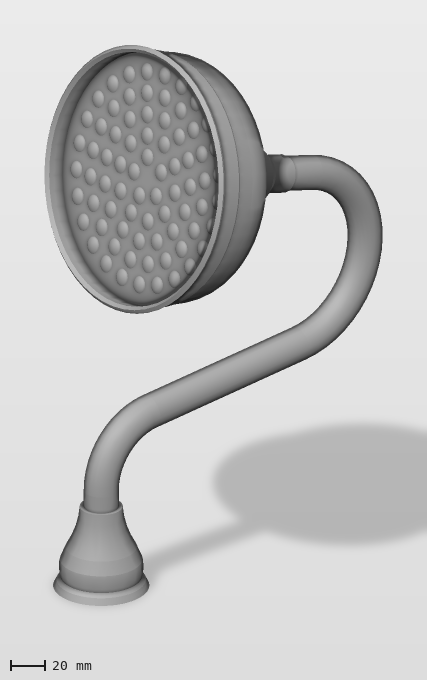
import cadquery as cq
import math

arm_radius = 10.3
lower_bend_radius = 40.0
upper_bend_radius = 55.0
rise_angle = 5.0
head_angle = 15.0
long_straight = 113.5
end_straight = 19.2

flange_radius = 28.2
flange_shoulder_radius = 26.2
flange_shoulder_height = 4.0
flange_height = 6.3

bell_foot_radius = 24.0
bell_belly_radius = 25.0
bell_belly_z = 12.3
bell_shoulder_radius = 24.2
bell_shoulder_z = 17.2
bell_waist_radius = 21.0
bell_waist_z = 25.2
bell_mid_radius = 15.5
bell_mid_z = 36.5
bell_top_radius = 12.5
bell_top_z = 51.5

sleeve_length = 10.3

lip_length = 3.0
nut_radius = 11.3
nut_length = 15.5
stem_radius = 8.3
stem_length = 6.5
flat_width = 7.5
flat_length = 5.0
flat_depth = 0.5

neck_radius = 16.5
neck_length = 21.5
boss_height = 2.0
boss_back_radius = 9.0
boss_front_radius = 11.0
cone_start_radius = 21.2
cone_mid_radius = 36.5
cone_mid_length = 11.0
cone_end_radius = 55.7
cone_length = 22.2
shoulder_mid_radius = 69.0
shoulder_mid_length = 9.0
shoulder_radius = 74.0
shoulder_length = 24.0
skirt_radius = 75.0
skirt_length = 10.5
band_step = 1.3
band_radius = 75.5
band_length = 13.3
rim_radius = 157.5 / 2
rim_thickness = 3.5
rim_back_radius = 78.0
rim_back_bevel = 1.5
rim_crest_radius = 76.5
recess_radius = 74.5
recess_depth = 12.5
rim_lead_in = 2.0

nozzle_radius = 10.3 / 2
nozzle_height = 1.5
nozzle_root = 1.5
outer_ring_radius = 62.7
nozzle_ring_count = 5
nozzles_per_ring_step = 5

sleeve_top_z = bell_top_z + sleeve_length
rise = math.radians(rise_angle)
tilt = math.radians(head_angle)
nozzle_ring_pitch = outer_ring_radius / nozzle_ring_count


def arc_point(center, radius, angle):
    """Point in the YZ plane at an angle measured from +Y towards +Z."""
    return (center[0] + radius * math.cos(angle), center[1] + radius * math.sin(angle))


lower_center = (lower_bend_radius, sleeve_top_z)
lower_mid = arc_point(lower_center, lower_bend_radius, math.pi * 3 / 4 + rise / 2)
lower_end = arc_point(lower_center, lower_bend_radius, math.pi / 2 + rise)
upper_start = (
    lower_end[0] + long_straight * math.cos(rise),
    lower_end[1] + long_straight * math.sin(rise),
)
upper_center = arc_point(upper_start, upper_bend_radius, math.pi / 2 + rise)
upper_mid = arc_point(upper_center, upper_bend_radius, (rise - tilt) / 2)
upper_end = arc_point(upper_center, upper_bend_radius, math.pi / 2 - tilt)
arm_end = (
    upper_end[0] - end_straight * math.cos(tilt),
    upper_end[1] + end_straight * math.sin(tilt),
)

head_frame = cq.Plane(
    origin=(0, arm_end[0], arm_end[1]),
    xDir=(1, 0, 0),
    normal=(0, -math.cos(tilt), math.sin(tilt)),
)


def place_on_arm_end(body):
    return cq.Workplane(body.val().moved(cq.Location(head_frame)))


def revolve_profile(profile):
    """Turn a closed (radius, height) profile around the Z axis."""
    return profile.close().revolve(360, (0, 0, 0), (0, 1, 0))


def make_flange():
    return revolve_profile(
        cq.Workplane("XZ")
        .lineTo(flange_radius, 0)
        .lineTo(flange_shoulder_radius, flange_shoulder_height)
        .lineTo(bell_foot_radius, flange_height)
        .lineTo(0, flange_height)
    )


def make_bell():
    return revolve_profile(
        cq.Workplane("XZ")
        .moveTo(0, flange_height)
        .lineTo(bell_foot_radius, flange_height)
        .threePointArc((bell_belly_radius, bell_belly_z), (bell_shoulder_radius, bell_shoulder_z))
        .lineTo(bell_waist_radius, bell_waist_z)
        .threePointArc((bell_mid_radius, bell_mid_z), (bell_top_radius, bell_top_z))
        .lineTo(0, bell_top_z)
    )


def make_sleeve():
    return cq.Workplane("XY").workplane(offset=bell_top_z).circle(arm_radius).extrude(sleeve_length)


def make_arm():
    path = (
        cq.Workplane("YZ")
        .moveTo(0, sleeve_top_z)
        .threePointArc(lower_mid, lower_end)
        .lineTo(*upper_start)
        .threePointArc(upper_mid, upper_end)
        .lineTo(*arm_end)
    )
    return cq.Workplane("XY").workplane(offset=sleeve_top_z).circle(arm_radius).sweep(path)


def make_swivel():
    swivel = (
        cq.Workplane("XY")
        .circle(arm_radius)
        .extrude(lip_length)
        .faces(">Z")
        .workplane()
        .circle(nut_radius)
        .extrude(nut_length)
        .faces(">Z")
        .workplane()
        .circle(stem_radius)
        .extrude(stem_length)
    )
    flat = (
        cq.Workplane("XY")
        .box(flat_width, nut_radius, flat_length, centered=(True, False, False))
        .translate((0, nut_radius - flat_depth, lip_length))
    )
    return place_on_arm_end(swivel.cut(flat))


def make_nozzle_dome():
    """Spherical cap on a short root that sinks into the face plate."""
    sphere_radius = (nozzle_radius ** 2 + nozzle_height ** 2) / (2 * nozzle_height)
    return revolve_profile(
        cq.Workplane("XZ")
        .moveTo(0, -nozzle_root)
        .lineTo(nozzle_radius, -nozzle_root)
        .lineTo(nozzle_radius, 0)
        .radiusArc((0, nozzle_height), -sphere_radius)
    )


def make_head():
    neck_back = lip_length + nut_length + stem_length
    cone_back = neck_back + neck_length
    shoulder_back = cone_back + cone_length
    skirt_back = shoulder_back + shoulder_length
    band_back = skirt_back + skirt_length
    band_front = band_back + band_step
    rim_back = band_front + band_length
    face = rim_back + rim_thickness
    plate = face - recess_depth
    cone_mid = (cone_mid_radius, cone_back + cone_mid_length)
    shoulder_mid = (shoulder_mid_radius, shoulder_back + shoulder_mid_length)
    head = revolve_profile(
        cq.Workplane("XZ")
        .moveTo(0, neck_back)
        .lineTo(stem_radius, neck_back)
        .lineTo(stem_radius, neck_back - boss_height)
        .lineTo(boss_back_radius, neck_back - boss_height)
        .lineTo(boss_front_radius, neck_back)
        .lineTo(neck_radius, neck_back)
        .lineTo(neck_radius, cone_back)
        .lineTo(cone_start_radius, cone_back)
        .threePointArc(cone_mid, (cone_end_radius, shoulder_back))
        .threePointArc(shoulder_mid, (shoulder_radius, skirt_back))
        .lineTo(skirt_radius, band_back)
        .lineTo(band_radius, band_front)
        .lineTo(band_radius, rim_back)
        .lineTo(rim_back_radius, rim_back)
        .lineTo(rim_radius, rim_back + rim_back_bevel)
        .lineTo(rim_crest_radius, face)
        .lineTo(recess_radius, face - rim_lead_in)
        .lineTo(recess_radius, plate)
        .lineTo(0, plate)
    )
    dome = make_nozzle_dome()
    for ring in range(1, nozzle_ring_count + 1):
        count = nozzles_per_ring_step * ring
        nozzles = (
            cq.Workplane("XY")
            .workplane(offset=plate)
            .polarArray(nozzle_ring_pitch * ring, 180, 360, count)
            .eachpoint(lambda spot: dome.val().moved(spot))
        )
        head = head.union(nozzles)
    return place_on_arm_end(head)


flange = make_flange()
bell = make_bell()
sleeve = make_sleeve()
arm = make_arm()
swivel = make_swivel()
head = make_head()

result = cq.Compound.makeCompound(
    [flange.val(), bell.val(), sleeve.val(), arm.val(), swivel.val(), head.val()]
)